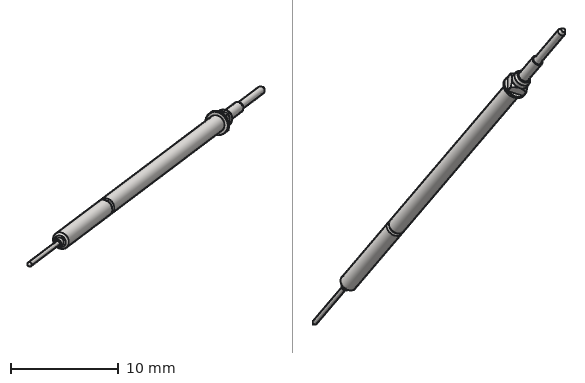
import cadquery as cq
import math


total_length = 50.5
plunger_end_y = total_length / 2
tail_end_y = -total_length / 2

pin_radius = 0.38
pin_tip_radius = 0.22
pin_tip_length = 0.35
pin_base_y = 20.3
pin_flare_radius = 0.42
sleeve_radius = 0.53
sleeve_top_y = 20.05

body_radius = 0.825
flange_radius = 1.15
cap_top_radius = 0.68
cap_top_y = 17.3
cap_length = 0.3
square_side = 2 * body_radius
square_corner_radius = flange_radius
square_top_y = 16.5
square_chamfer_angle = 40
flange_top_y = 15.6
flange_thickness = 0.25

groove_y = -8.55
groove_width = 0.4
groove_depth = 0.15

body_end_y = -18.1
body_end_radius = 0.57
body_end_chamfer = 0.15
collar_radius = 0.37
collar_end_y = -18.8
wire_radius = 0.225
wire_tip_length = 0.4


def turned(profile):
    """Revolve (radius, y) points about the Y axis, closing any open end square onto the axis."""
    outline = [(y, radius) for radius, y in profile]
    if profile[0][0] > 0:
        outline.insert(0, (profile[0][1], 0))
    if profile[-1][0] > 0:
        outline.append((profile[-1][1], 0))
    return cq.Workplane("YZ").polyline(outline).close().revolve(360, (0, 0, 0), (1, 0, 0))


def make_plunger():
    return turned([
        (pin_tip_radius, plunger_end_y),
        (pin_radius, plunger_end_y - pin_tip_length),
        (pin_radius, pin_base_y),
        (pin_flare_radius, sleeve_top_y),
        (sleeve_radius, sleeve_top_y),
        (sleeve_radius, cap_top_y),
    ])


def make_barrel():
    groove_top_y = groove_y + groove_width / 2
    groove_bottom_y = groove_y - groove_width / 2
    flange_bottom_y = flange_top_y - flange_thickness
    return turned([
        (cap_top_radius, cap_top_y),
        (body_radius, cap_top_y - cap_length),
        (body_radius, flange_top_y),
        (flange_radius, flange_top_y),
        (flange_radius, flange_bottom_y),
        (body_radius, flange_bottom_y),
        (body_radius, groove_top_y),
        (body_radius - groove_depth, groove_y),
        (body_radius, groove_bottom_y),
        (body_radius, body_end_y),
        (body_end_radius, body_end_y - body_end_chamfer),
    ])


def make_square_section():
    """Square press-fit section whose corners are turned round and chamfered at the top."""
    square_length = square_top_y - flange_top_y
    corner_overhang = square_corner_radius - body_radius
    chamfer_length = corner_overhang * math.tan(math.radians(square_chamfer_angle))
    block = cq.Workplane("XY").box(square_side, square_length, square_side)
    block = block.translate((0, flange_top_y + square_length / 2, 0))
    envelope = turned([
        (body_radius, square_top_y),
        (square_corner_radius, square_top_y - chamfer_length),
        (square_corner_radius, flange_top_y),
    ])
    return block.intersect(envelope)


def make_tail():
    return turned([
        (collar_radius, body_end_y - body_end_chamfer),
        (collar_radius, collar_end_y),
        (wire_radius, collar_end_y),
        (wire_radius, tail_end_y + wire_tip_length),
        (0, tail_end_y),
    ])


result = make_barrel().union(make_plunger()).union(make_square_section()).union(make_tail())